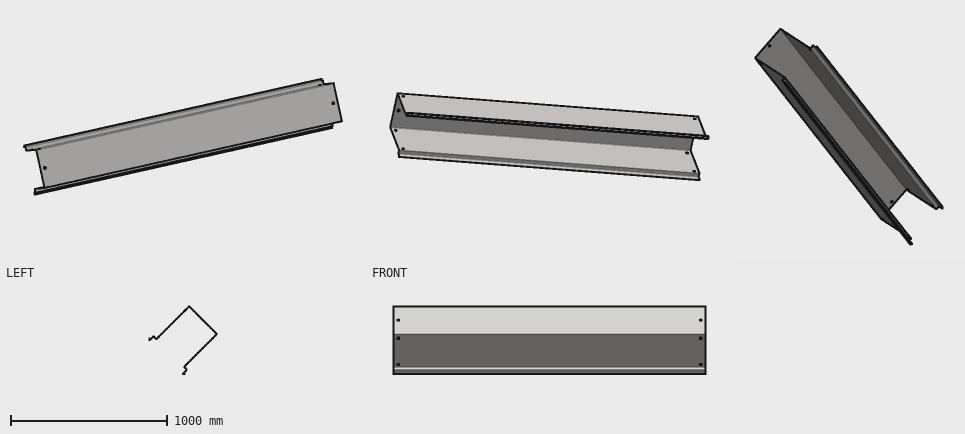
import cadquery as cq
import math

LENGTH = 2000.0
THICKNESS = 1.0
INNER_BEND_RADIUS = 1.0
WEB_WIDTH = 251.0
LEG_DEPTH = 297.3
STEP_WIDTH = 25.5
LIP_DEPTH = 39.14
HOOK_LENGTH = 15.0
HOOK_ANGLE = 45.0

HOLE_DIAMETER = 12.0
HOLE_FROM_END = 31.0
LEG_HOLE_FROM_WEB = 38.0
LEG_HOLE_SPACING = 238.0

MID_BEND_RADIUS = INNER_BEND_RADIUS + THICKNESS / 2

WEB_ACROSS = cq.Vector(0, 1, 1).normalized()
WEB_OUTWARD = cq.Vector(0, -1, 1).normalized()
SECTION_PLANE = cq.Plane(origin=(0, 0, 0), xDir=WEB_ACROSS, normal=(1, 0, 0))


def mid_line():
    """Corners of the sheet's mid-line, from one hook's free edge to the other's."""
    leg_x = WEB_WIDTH / 2
    lip_x = leg_x + STEP_WIDTH
    lip_end = -(LEG_DEPTH + LIP_DEPTH)
    hook_angle = math.radians(HOOK_ANGLE)
    hook_x = lip_x + HOOK_LENGTH * math.sin(hook_angle)
    hook_y = lip_end + HOOK_LENGTH * math.cos(hook_angle)
    half = [(leg_x, 0), (leg_x, -LEG_DEPTH), (lip_x, -LEG_DEPTH), (lip_x, lip_end), (hook_x, hook_y)]
    mirrored = [(-x, y) for x, y in reversed(half)]
    return [cq.Vector(x, y) for x, y in mirrored + half]


def left_of(direction):
    return cq.Vector(-direction.y, direction.x)


def bend_arc(before, corner, after, offset):
    """Start, middle and end of a bend's arc, shifted sideways from the mid-line by offset."""
    direction_in = (corner - before).normalized()
    direction_out = (after - corner).normalized()
    half_turn = direction_in.getAngle(direction_out) / 2
    setback = MID_BEND_RADIUS * math.tan(half_turn)
    corner_to_arc = MID_BEND_RADIUS * (1 / math.cos(half_turn) - 1)
    towards_center = (direction_out - direction_in).normalized()
    side = (left_of(direction_in) + left_of(direction_out)).normalized()
    start = corner - direction_in * setback + left_of(direction_in) * offset
    middle = corner + towards_center * corner_to_arc + side * offset
    end = corner + direction_out * setback + left_of(direction_out) * offset
    return start, middle, end


def draw_side(sketch, corners):
    """Continue the outline along the sheet face on the left of the given mid-line."""
    offset = THICKNESS / 2
    for before, corner, after in zip(corners, corners[1:], corners[2:]):
        start, middle, end = bend_arc(before, corner, after, offset)
        sketch = sketch.lineTo(start.x, start.y)
        sketch = sketch.threePointArc((middle.x, middle.y), (end.x, end.y))
    last_direction = (corners[-1] - corners[-2]).normalized()
    side_end = corners[-1] + left_of(last_direction) * offset
    return sketch.lineTo(side_end.x, side_end.y)


def bent_sheet():
    corners = mid_line()
    first_direction = (corners[1] - corners[0]).normalized()
    first = corners[0] + left_of(first_direction) * (THICKNESS / 2)
    sketch = cq.Workplane(SECTION_PLANE).moveTo(first.x, first.y)
    sketch = draw_side(sketch, corners)
    sketch = draw_side(sketch, corners[::-1])
    return sketch.close().extrude(LENGTH)


def hole_cutter(x, across, outward, direction):
    """Cylinder through one sheet wall, centred on the wall's mid-plane."""
    depth = 2 * THICKNESS
    center = cq.Vector(x, 0, 0) + WEB_ACROSS * across + WEB_OUTWARD * outward
    base = center - direction * (depth / 2)
    return cq.Solid.makeCylinder(HOLE_DIAMETER / 2, depth, base, direction)


def hole_cutters():
    """At each end: one hole mid-web and two holes in each leg."""
    cutters = []
    for x in (HOLE_FROM_END, LENGTH - HOLE_FROM_END):
        cutters.append(hole_cutter(x, 0, 0, WEB_OUTWARD))
        for leg in (-WEB_WIDTH / 2, WEB_WIDTH / 2):
            for distance in (LEG_HOLE_FROM_WEB, LEG_HOLE_FROM_WEB + LEG_HOLE_SPACING):
                cutters.append(hole_cutter(x, leg, -distance, WEB_ACROSS))
    return cutters


result = bent_sheet()
for cutter in hole_cutters():
    result = result.cut(cq.Workplane(cutter))